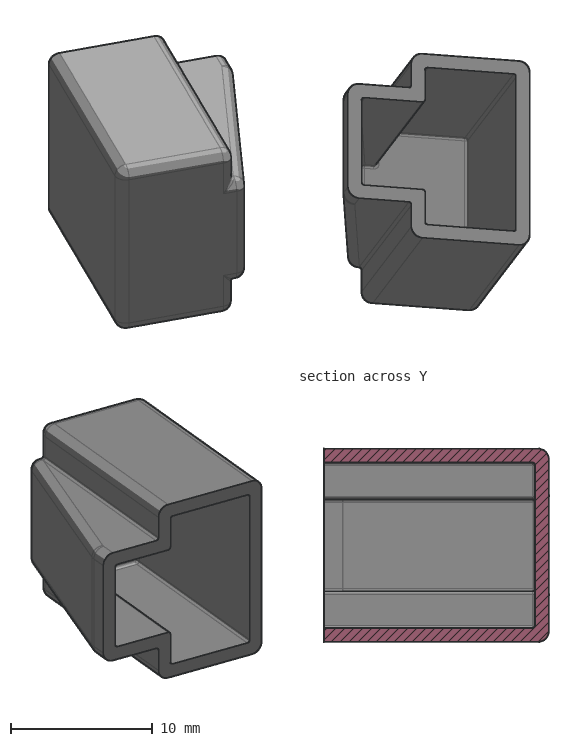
import cadquery as cq
import math

length = 15.9
depth = 13.2
height = 13.68

body_depth = 8.6
rib_height = 8.5

taper_start = 1.45
taper_end_depth = 9.4
taper_angle = math.atan2(depth - taper_end_depth, length - taper_start)

wall = 1.0
outer_radius = 0.8
inside_corner_radius = 0.2
bend_radius = 1.3
cavity_radius = 0.2

tolerance = 0.001


def t_block(inset):
    """Sharp-edged T block, with all but the open end moved inwards by inset."""
    end = length - inset
    front = inset
    rib_back = depth - inset
    bend = taper_start - inset * math.tan(taper_angle / 2)
    slope_end = rib_back - (end - bend) * math.tan(taper_angle)
    rib = (
        cq.Workplane("XY")
        .moveTo(0, front)
        .lineTo(end, front)
        .lineTo(end, slope_end)
        .lineTo(bend, rib_back)
        .lineTo(0, rib_back)
        .close()
        .extrude(rib_height / 2 - inset, both=True)
    )
    body = (
        cq.Workplane("XY")
        .moveTo(0, front)
        .rect(end, body_depth - 2 * inset, centered=False)
        .extrude(height / 2 - inset, both=True)
    )
    return body.union(rib)


def is_bend(edge):
    """True for the sharp edge between the straight and sloping backs of the outside."""
    middle = edge.Center()
    return abs(middle.x - taper_start) < tolerance and abs(middle.y - depth) < tolerance


def is_bend_seam(edge):
    """True for the upright edges where the rounded bend meets the flat backs."""
    return edge.Center().x < length / 2


def is_inside_corner(edge):
    """True for the lengthwise edges where the outside of the rib meets the body."""
    middle = edge.Center()
    at_body_back = abs(middle.y - body_depth) < tolerance
    at_rib_side = abs(abs(middle.z) - rib_height / 2) < tolerance
    return at_body_back and at_rib_side


def closed_end_edges(block):
    """All edges of a block except those lying in the open end."""
    return block.edges().filter(lambda edge: edge.BoundingBox().xmax > tolerance)


def make_outside():
    """T block with a rounded bend, rounded outer edges and small inside corners."""
    block = t_block(0)
    block = block.edges("|Z").filter(is_bend).fillet(bend_radius)
    bend_seams = closed_end_edges(block).edges("|Z").filter(is_bend_seam).vals()
    outer_edges = closed_end_edges(block).filter(
        lambda edge: not is_inside_corner(edge) and edge not in bend_seams
    )
    block = outer_edges.fillet(outer_radius)
    return block.edges("|X").filter(is_inside_corner).fillet(inside_corner_radius)


def make_cavity():
    """Inset T block with every edge rounded except at the open end."""
    return closed_end_edges(t_block(wall)).fillet(cavity_radius)


result = make_outside().cut(make_cavity())